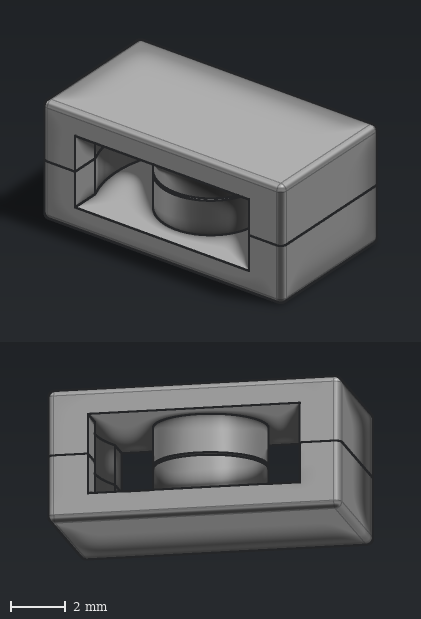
import cadquery as cq

length = 11.0
width = 6.0
height = 5.0

half_height = height / 2
plate_thickness = 1.0
leg_height = half_height - plate_thickness
edge_radius = 0.25

opening_length = 7.94
bore_diameter = 8.69
post_diameter = 4.25
air_gap = 0.1
post_height = leg_height - air_gap / 2


def outer_block():
    """Lower half block, rounded everywhere except on the mating plane Z = 0."""
    block = cq.Workplane("XY").box(length, width, half_height, centered=(True, True, False))
    block = block.translate((0, 0, -half_height))
    return block.edges("|Z or <Z").fillet(edge_radius)


def winding_space():
    """Straight channel along Y, widened by a bore around the centre post."""
    floor = cq.Workplane("XY").workplane(offset=-leg_height)
    channel = floor.rect(opening_length, width).extrude(leg_height)
    bore = floor.circle(bore_diameter / 2).extrude(leg_height)
    return channel.union(bore)


def centre_post():
    """Round post, shorter than the legs by half of the air gap."""
    return cq.Workplane("XY").workplane(offset=-leg_height).circle(post_diameter / 2).extrude(post_height)


def core_half():
    """Lower core half, with its legs meeting the other half at Z = 0."""
    return outer_block().cut(winding_space()).union(centre_post())


lower_core = core_half()
upper_core = core_half().mirror("XY")

result = cq.Compound.makeCompound([lower_core.solids().val(), upper_core.solids().val()])